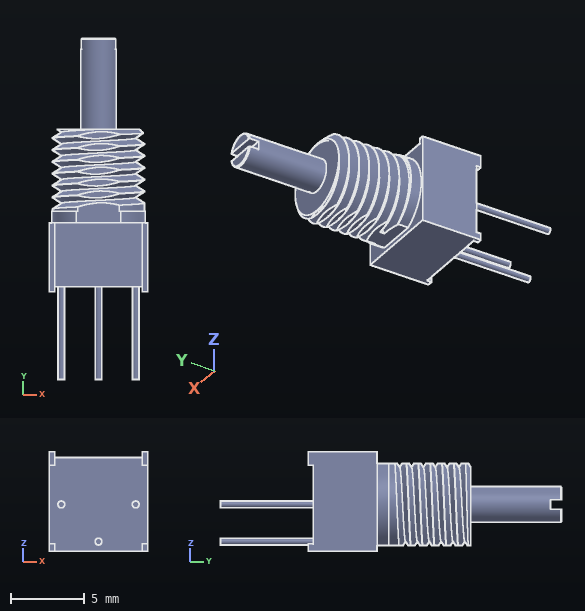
import cadquery as cq


housing_width = 6.72
housing_height = 6.4
housing_depth = 4.35
plate_thickness = 0.4
plate_rise = 0.4
foot_length = 0.35
upper_foot_height = 0.93
lower_foot_height = 0.5

bushing_length = 6.4
collar_radius = 3.18
collar_length = 0.81
crest_radius = 3.14
root_radius = 2.53
flat_spacing = 5.6
thread_turns = 7
thread_length = 5.65
pitch = thread_length / thread_turns
crest_land = 0.033
lead_in_chamfer = 0.4
groove_start = 1.15

shaft_diameter = 2.45
shaft_radius = shaft_diameter / 2
shaft_length = 6.18
tip_chamfer = 0.07
slot_width = 0.63
slot_depth = 0.75

pin_radius = 0.23
pin_offset = 2.53
total_length = 23.25
pin_length = total_length - shaft_length - bushing_length - housing_depth


def rod(radius, start, end, x=0, z=0):
    """Cylinder parallel to Y running from y = start to y = end."""
    axis_start = cq.Vector(x, start, z)
    solid = cq.Solid.makeCylinder(radius, end - start, axis_start, cq.Vector(0, 1, 0))
    return cq.Workplane(obj=solid)


def block(x_size, y_start, y_end, z_low, z_high, x_center=0):
    """Rectangular block placed by its Y and Z limits."""
    return (
        cq.Workplane()
        .box(x_size, y_end - y_start, z_high - z_low)
        .translate((x_center, (y_start + y_end) / 2, (z_low + z_high) / 2))
    )


def make_housing():
    low = -housing_height / 2
    body_top = housing_height / 2
    plate_top = body_top + plate_rise
    plate_center = (housing_width - plate_thickness) / 2
    foot_end = -housing_depth - foot_length
    body = block(housing_width, -housing_depth, 0, low, body_top)
    for x in (-plate_center, plate_center):
        rail = block(plate_thickness, -housing_depth, 0, low, plate_top, x)
        upper_foot = block(
            plate_thickness, foot_end, -housing_depth / 2, plate_top - upper_foot_height, plate_top, x
        )
        lower_foot = block(
            plate_thickness, foot_end, -housing_depth / 2, low, low + lower_foot_height, x
        )
        body = body.union(rail).union(upper_foot).union(lower_foot)
    return body


def make_thread_groove():
    """Right-handed V groove that starts at the underside of the bushing."""
    overcut = 0.019
    crest_half_width = (pitch - crest_land) / 2
    slope = crest_half_width / (crest_radius - root_radius)
    outer_radius = crest_radius + overcut
    outer_half_width = crest_half_width + slope * overcut
    groove_length = bushing_length + pitch - groove_start
    section = (
        (root_radius, 0),
        (outer_radius, outer_half_width),
        (outer_radius, -outer_half_width),
    )

    edges = [
        cq.Wire.makeHelix(pitch, groove_length, radius).translate(cq.Vector(0, 0, offset))
        for radius, offset in section
    ]
    faces = []
    for i, edge in enumerate(edges):
        next_edge = edges[(i + 1) % len(edges)]
        faces.extend(cq.Face.makeRuledSurface(edge, next_edge).Faces())
    for corners in ([e.startPoint() for e in edges], [e.endPoint() for e in edges]):
        faces.append(cq.Face.makeFromWires(cq.Wire.makePolygon(corners, close=True)))
    groove = cq.Workplane(obj=cq.Solid.makeSolid(cq.Shell.makeShell(faces)))

    return (
        groove.rotate((0, 0, 0), (1, 0, 0), -90)
        .rotate((0, 0, 0), (0, 1, 0), 90)
        .translate((0, groove_start, 0))
    )


def make_bushing():
    blank = rod(crest_radius, 0, bushing_length)
    threaded = blank.cut(make_thread_groove())
    bushing = threaded.union(rod(collar_radius, 0, collar_length))
    flats = block(
        2 * collar_radius, 0, bushing_length, -flat_spacing / 2, flat_spacing / 2
    )
    envelope = rod(collar_radius, 0, bushing_length).faces(">Y").chamfer(lead_in_chamfer)
    return bushing.intersect(envelope.intersect(flats))


def make_shaft():
    tip = bushing_length + shaft_length
    shaft = rod(shaft_radius, 0, tip).faces(">Y").chamfer(tip_chamfer)
    slot = block(2 * shaft_radius, tip - slot_depth, tip, -slot_width / 2, slot_width / 2)
    return shaft.cut(slot)


result = make_housing().union(make_bushing()).union(make_shaft())
for pin_x, pin_z in ((-pin_offset, 0), (pin_offset, 0), (0, -pin_offset)):
    pin = rod(pin_radius, -housing_depth - pin_length, -housing_depth / 2, pin_x, pin_z)
    result = result.union(pin)